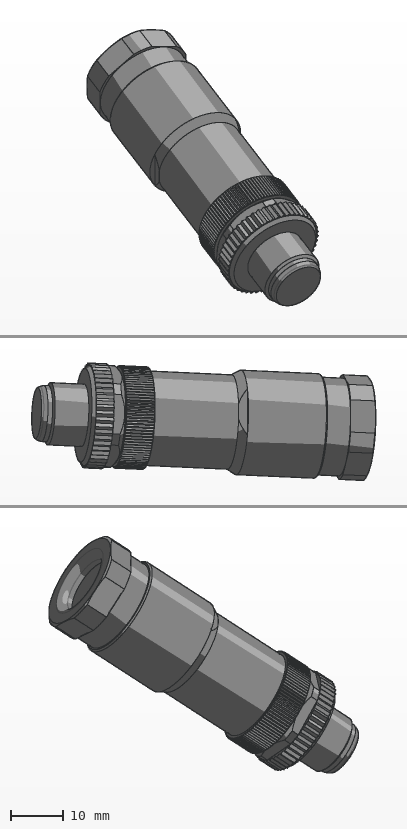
import cadquery as cq
import math

LENGTH = 64.15

NUT_END = 4.95
NECK_END = 9.4
SLEEVE_END = 24.9
TAPER_END = 26.6
BODY_END = 43.0
RING_END = 48.6
HEX_END = 51.0
WHEEL_END = 54.45
COUPLING_END = 55.15
NOSE_END = 61.7

OUTER_RADIUS = 10.0
NUT_FLAT_DISTANCE = 9.5
NUT_FACE_RADIUS = 9.4
NUT_CHAMFER_LENGTH = 0.25
ENTRY_RADIUS = 5.65
ENTRY_LIP_RADIUS = 1.55
ENTRY_DEPTH = 2.6

NECK_RADIUS = 9.35
SLEEVE_CHAMFER = 0.3
BODY_RADIUS = 9.05
TAPER_FLAT_DISTANCE = 8.9

RING_RADIUS = 9.8
RING_TEETH = 100
RING_TOOTH_DEPTH = 0.25
RING_CHAMFER = 0.2

HEX_RADIUS = 9.75
HEX_FLAT_DISTANCE = 9.0
HEX_TURN = 10.2
HEX_CHAMFER = 0.9
WHEEL_RADIUS = 20.1 / 2
WHEEL_TEETH = 50
WHEEL_TOOTH_DEPTH = 0.45
COUPLING_FACE_RADIUS = 9.0

NOSE_RADIUS = 5.95
TIP_RADIUS = 5.4
TIP_START = 62.1
TIP_TAPER_START = 63.0
TIP_TAPER_END = 63.75
TIP_TAPER_RADIUS = 5.1
TIP_FACE_RADIUS = 4.9


def turned(outline):
    """Solid of revolution about X; the outline is a run of (x, radius) points."""
    points = [(outline[0][0], 0)] + outline + [(outline[-1][0], 0)]
    return cq.Workplane("XY").polyline(points).close().revolve(360, (0, 0, 0), (1, 0, 0))


def hex_bar(start, end, flat_distance, turn):
    """Hexagonal bar along X; at zero turn two flats face +Y and -Y."""
    corner_diameter = 2 * flat_distance / math.cos(math.radians(30))
    bar = cq.Workplane("YZ", origin=(start, 0, 0)).polygon(6, corner_diameter).extrude(end - start)
    return bar.rotate((0, 0, 0), (1, 0, 0), 30 + turn)


def toothed_bar(start, end, crest_radius, tooth_depth, teeth):
    """Bar along X with straight V-shaped teeth around it, one of its roots facing +Y."""
    points = []
    for step in range(2 * teeth):
        radius = crest_radius - tooth_depth * (step % 2)
        angle = math.pi * (step + 1) / teeth
        points.append((radius * math.cos(angle), radius * math.sin(angle)))
    return cq.Workplane("YZ", origin=(start, 0, 0)).polyline(points).close().extrude(end - start)


def cable_nut():
    blank = turned([
        (0, NUT_FACE_RADIUS),
        (NUT_CHAMFER_LENGTH, OUTER_RADIUS),
        (NUT_END, OUTER_RADIUS),
    ])
    return blank.intersect(hex_bar(0, NUT_END, NUT_FLAT_DISTANCE, 0))


def cable_entry():
    """Blind hole whose mouth is rounded outward."""
    mouth_radius = ENTRY_RADIUS + ENTRY_LIP_RADIUS
    lip_offset = ENTRY_LIP_RADIUS * math.sqrt(0.5)
    lip_middle = (ENTRY_LIP_RADIUS - lip_offset, mouth_radius - lip_offset)
    return (
        cq.Workplane("XY")
        .lineTo(0, mouth_radius)
        .threePointArc(lip_middle, (ENTRY_LIP_RADIUS, ENTRY_RADIUS))
        .lineTo(ENTRY_DEPTH, ENTRY_RADIUS)
        .lineTo(ENTRY_DEPTH, 0)
        .close()
        .revolve(360, (0, 0, 0), (1, 0, 0))
    )


def housing():
    return turned([
        (NUT_END, NECK_RADIUS),
        (NECK_END, NECK_RADIUS),
        (NECK_END, OUTER_RADIUS - SLEEVE_CHAMFER),
        (NECK_END + SLEEVE_CHAMFER, OUTER_RADIUS),
        (SLEEVE_END, OUTER_RADIUS),
    ])


def taper():
    """Cone behind the sleeve, cut flat on the +Y and -Y sides."""
    length = TAPER_END - SLEEVE_END
    cone = turned([(SLEEVE_END, OUTER_RADIUS), (TAPER_END, BODY_RADIUS)])
    slab = cq.Workplane("XY").box(length, 2 * TAPER_FLAT_DISTANCE, 2 * OUTER_RADIUS)
    return cone.intersect(slab.translate((SLEEVE_END + length / 2, 0, 0)))


def body():
    return turned([(TAPER_END, BODY_RADIUS), (BODY_END, BODY_RADIUS)])


def knurled_ring():
    blank = turned([
        (BODY_END, RING_RADIUS - RING_CHAMFER),
        (BODY_END + RING_CHAMFER, RING_RADIUS),
        (RING_END - RING_CHAMFER, RING_RADIUS),
        (RING_END, RING_RADIUS - RING_CHAMFER),
    ])
    return blank.intersect(toothed_bar(BODY_END, RING_END, RING_RADIUS, RING_TOOTH_DEPTH, RING_TEETH))


def coupling_hex():
    blank = turned([
        (RING_END, HEX_RADIUS - HEX_CHAMFER),
        (RING_END + HEX_CHAMFER, HEX_RADIUS),
        (HEX_END, HEX_RADIUS),
    ])
    return blank.intersect(hex_bar(RING_END, HEX_END, HEX_FLAT_DISTANCE, -HEX_TURN))


def coupling_wheel():
    wheel = toothed_bar(HEX_END, WHEEL_END, WHEEL_RADIUS, WHEEL_TOOTH_DEPTH, WHEEL_TEETH)
    front_cone = turned([
        (WHEEL_END, WHEEL_RADIUS - WHEEL_TOOTH_DEPTH),
        (COUPLING_END, COUPLING_FACE_RADIUS),
    ])
    return wheel.union(front_cone)


def nose():
    return turned([
        (COUPLING_END, NOSE_RADIUS),
        (NOSE_END, NOSE_RADIUS),
        (TIP_START, TIP_RADIUS),
        (TIP_TAPER_START, TIP_RADIUS),
        (TIP_TAPER_END, TIP_TAPER_RADIUS),
        (LENGTH, TIP_FACE_RADIUS),
    ])


result = cable_nut().cut(cable_entry())
for section in (housing, taper, body, knurled_ring, coupling_hex, coupling_wheel, nose):
    result = result.union(section())